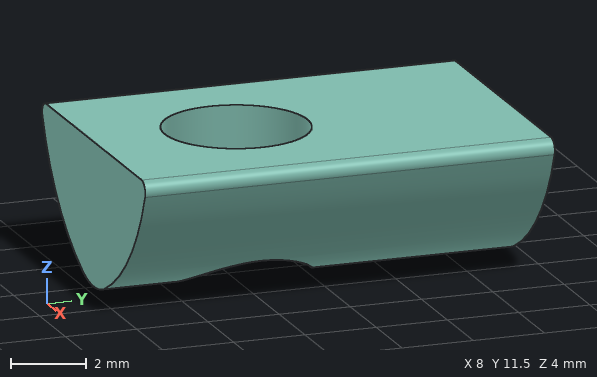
import cadquery as cq
import math

WIDTH = 8.0
LENGTH = 11.5
HEIGHT = 4.0

CORNER_RADIUS = 0.3
FLANK_RADIUS = 5.9
NOSE_RADIUS = 2.05

HOLE_DIAMETER = 4.0
HOLE_FROM_FRONT = 4.0


def tangent_flank_center(corner_center, nose_center):
    """Center of the left flank arc, which encloses and touches the corner and nose circles."""
    dx = nose_center[0] - corner_center[0]
    dz = nose_center[1] - corner_center[1]
    spacing = math.hypot(dx, dz)
    to_corner = FLANK_RADIUS - CORNER_RADIUS
    to_nose = FLANK_RADIUS - NOSE_RADIUS
    along = (to_corner**2 - to_nose**2 + spacing**2) / (2 * spacing)
    across = math.sqrt(to_corner**2 - along**2)
    ux = dx / spacing
    uz = dz / spacing
    return (corner_center[0] + along * ux - across * uz, corner_center[1] + along * uz + across * ux)


def point_on_circle(center, radius, angle):
    return (center[0] + radius * math.cos(angle), center[1] + radius * math.sin(angle))


def direction(start, end):
    """Angle of the line from start to end, between 0 and a full turn."""
    return math.atan2(end[1] - start[1], end[0] - start[0]) % (2 * math.pi)


def mirrored(point):
    return (-point[0], point[1])


def make_body():
    """Symmetric cross-section of tangent arcs under a flat top, extruded along Y."""
    corner_center = (-WIDTH / 2 + CORNER_RADIUS, -CORNER_RADIUS)
    nose_center = (0, -HEIGHT + NOSE_RADIUS)
    flank_center = tangent_flank_center(corner_center, nose_center)

    corner_angle = direction(flank_center, corner_center)
    nose_angle = direction(flank_center, nose_center)
    flank_middle_angle = (corner_angle + nose_angle) / 2
    corner_middle_angle = (math.pi / 2 + corner_angle) / 2

    top_end = (corner_center[0], 0)
    corner_middle = point_on_circle(corner_center, CORNER_RADIUS, corner_middle_angle)
    flank_top = point_on_circle(flank_center, FLANK_RADIUS, corner_angle)
    flank_middle = point_on_circle(flank_center, FLANK_RADIUS, flank_middle_angle)
    flank_bottom = point_on_circle(flank_center, FLANK_RADIUS, nose_angle)

    profile = (
        cq.Workplane("XZ")
        .moveTo(*top_end)
        .threePointArc(corner_middle, flank_top)
        .threePointArc(flank_middle, flank_bottom)
        .threePointArc((0, -HEIGHT), mirrored(flank_bottom))
        .threePointArc(mirrored(flank_middle), mirrored(flank_top))
        .threePointArc(mirrored(corner_middle), mirrored(top_end))
        .close()
    )
    return profile.extrude(LENGTH / 2, both=True)


def make_hole():
    """Vertical cylinder passing through the full height, nearer the -Y end."""
    hole_y = -LENGTH / 2 + HOLE_FROM_FRONT
    return cq.Workplane("XY").center(0, hole_y).circle(HOLE_DIAMETER / 2).extrude(-HEIGHT)


result = make_body().cut(make_hole())